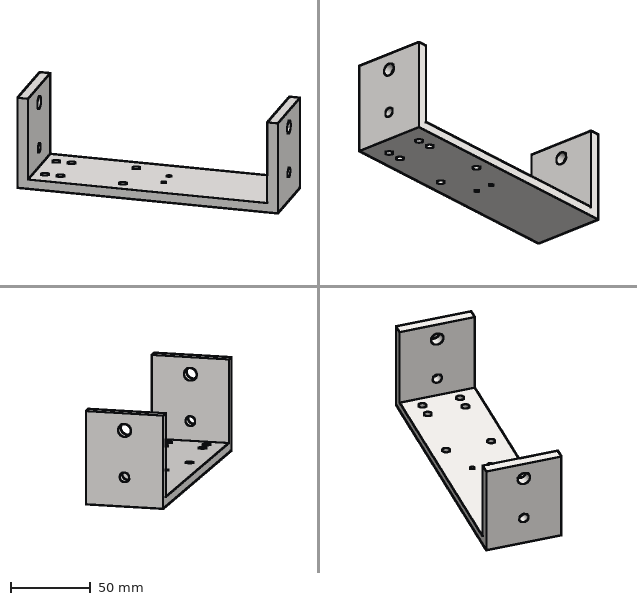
import cadquery as cq

length = 170.0
width = 50.0
height = 60.0
wall = 7.0
floor = 6.3

corner_hole_diameter = 5.0
corner_hole_x = 14.5
corner_hole_pitch_x = 10.0
corner_hole_pitch_y = 25.0
pair_hole_diameter = 5.0
pair_hole_x = 66.0
pair_hole_pitch_y = 30.0
small_hole_diameter = 2.9
small_hole_x = 90.0
small_hole_pitch_y = 12.0

upper_hole_diameter = 8.2
upper_hole_height = 49.0
lower_hole_diameter = 6.1
lower_hole_height = 18.9


def floor_hole_pair(body, x, pitch, diameter):
    """Drill two holes through the floor, symmetric about the width centreline."""
    for y in (-pitch / 2, pitch / 2):
        drill = cq.Workplane("XY").center(x, y).circle(diameter / 2).extrude(floor)
        body = body.cut(drill)
    return body


def end_wall_hole(body, z, diameter):
    """Drill one hole along X through both end walls."""
    drill = cq.Workplane("YZ").center(0, z).circle(diameter / 2).extrude(length)
    return body.cut(drill)


block = cq.Workplane("XY").box(length, width, height, centered=(False, True, False))
opening = (
    cq.Workplane("XY", origin=(wall, 0, floor))
    .box(length - 2 * wall, width, height - floor, centered=(False, True, False))
)
bracket = block.cut(opening)

for column in range(2):
    column_x = corner_hole_x + column * corner_hole_pitch_x
    bracket = floor_hole_pair(bracket, column_x, corner_hole_pitch_y, corner_hole_diameter)
bracket = floor_hole_pair(bracket, pair_hole_x, pair_hole_pitch_y, pair_hole_diameter)
bracket = floor_hole_pair(bracket, small_hole_x, small_hole_pitch_y, small_hole_diameter)

bracket = end_wall_hole(bracket, upper_hole_height, upper_hole_diameter)
bracket = end_wall_hole(bracket, lower_hole_height, lower_hole_diameter)

result = bracket